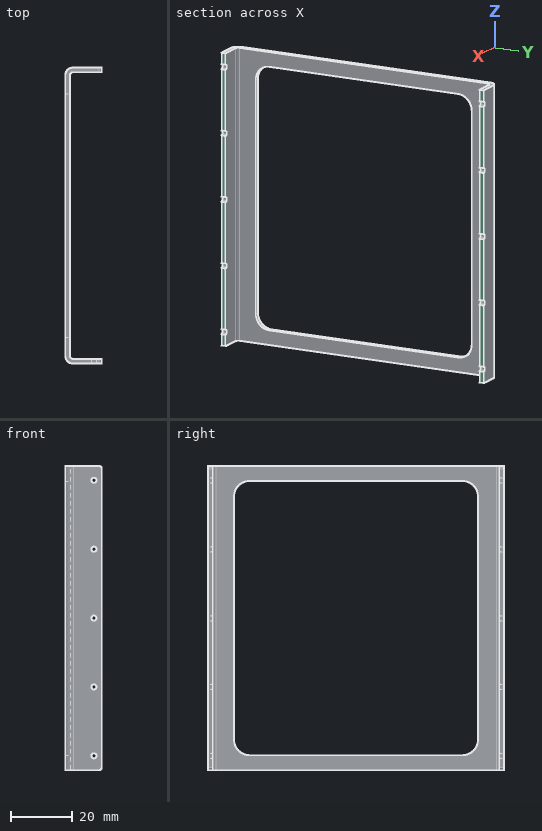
import cadquery as cq

depth = 12.0
width = 96.8
height = 99.5
thickness = 1.6
inner_bend_radius = 1.0
outer_bend_radius = inner_bend_radius + thickness

window_width = 79.6
window_height = 89.5
window_corner_radius = 5.0

flange_corner_radius = 1.0
hole_diameter = 1.6
hole_count = 5
hole_pitch = 22.5
hole_edge_distance = 2.6


def channel_block(inset, bend_radius):
    """Block rounded on its web side, inset from the web and flange outer faces."""
    block_depth = depth - inset
    block = cq.Workplane("XY").box(block_depth, width - 2 * inset, height)
    block = block.edges("|Z and <X").fillet(bend_radius)
    return block.translate((inset + block_depth / 2, 0, 0))


def bent_channel():
    """U-shaped sheet: web on the YZ plane, flanges pointing toward +X."""
    outside = channel_block(0, outer_bend_radius)
    inside = channel_block(thickness, inner_bend_radius)
    return outside.cut(inside)


def window_cutter():
    """Rounded rectangular opening through the web."""
    cutter = cq.Workplane("XY").box(2 * outer_bend_radius, window_width, window_height)
    return cutter.edges("|X").fillet(window_corner_radius)


def hole_cutter():
    """Row of holes running through both flanges."""
    hole_x = depth - hole_edge_distance
    first_z = -hole_pitch * (hole_count - 1) / 2
    centers = [(hole_x, first_z + i * hole_pitch) for i in range(hole_count)]
    row = cq.Workplane("XZ").pushPoints(centers).circle(hole_diameter / 2)
    return row.extrude(width, both=True)


channel = bent_channel().edges("|Y and >X").fillet(flange_corner_radius)
result = channel.cut(window_cutter()).cut(hole_cutter())